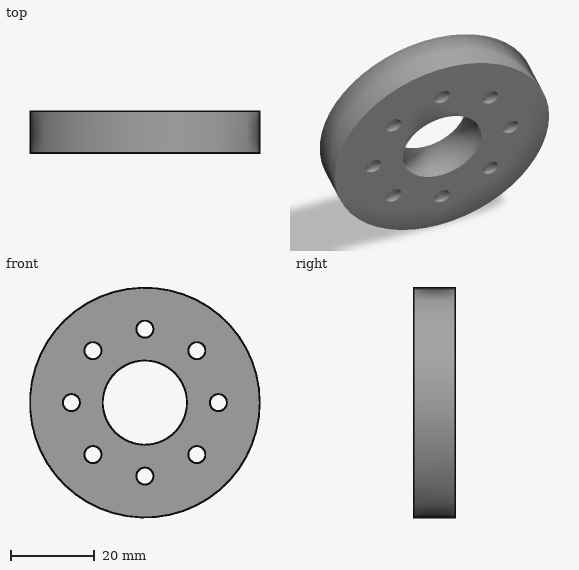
import cadquery as cq

outer_diameter = 54.8
thickness = 10.0
bore_diameter = 20.0

hole_count = 8
hole_diameter = 4.0
hole_circle_diameter = 35.0

ring = (
    cq.Workplane("XZ")
    .circle(outer_diameter / 2)
    .circle(bore_diameter / 2)
    .extrude(thickness)
)

hole_cutters = (
    cq.Workplane("XZ")
    .polarArray(hole_circle_diameter / 2, 0, 360, hole_count)
    .circle(hole_diameter / 2)
    .extrude(thickness)
)

result = ring.cut(hole_cutters)